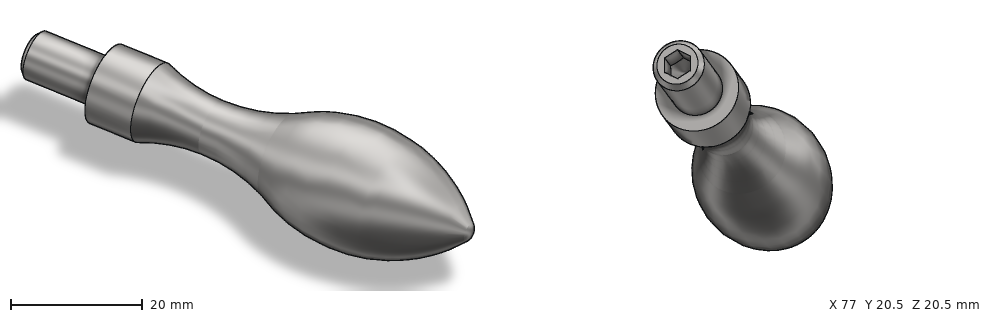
import cadquery as cq
import math

overall_length = 77.0
axis_start = (0, 0, 0)
axis_end = (1, 0, 0)

stud_radius = 4.0
stud_length = 13.0
stud_chamfer = 0.8

collar_radius = 6.5
collar_length = 8.0
collar_end_x = stud_length + collar_length

waist_x = 31.7
waist_radius = 4.4
neck_end_x = 43.4
belly_x = 56.6
belly_radius = 10.27
belly_curve_radius = 26.8
belly_center_height = belly_radius - belly_curve_radius

socket_sides = 6
socket_across_flats = 4.0
socket_depth = 4.0
drill_point_angle = 120.0


def belly_height(x):
    """Radius of the grip at x, on the convex belly arc."""
    return belly_center_height + math.sqrt(belly_curve_radius**2 - (x - belly_x) ** 2)


def neck_middle(end_x, end_radius):
    """Point on the concave arc that runs level at the waist and reaches the end given."""
    run = end_x - waist_x
    rise = end_radius - waist_radius
    curve_radius = (run**2 + rise**2) / (2 * rise)
    half_angle = math.asin(run / curve_radius) / 2
    return (
        waist_x + curve_radius * math.sin(half_angle),
        waist_radius + curve_radius * (1 - math.cos(half_angle)),
    )


def make_body():
    """Half outline of the handle, revolved about the X axis."""
    neck_end_radius = belly_height(neck_end_x)

    belly_to_end = overall_length - belly_x
    tip_sphere_radius = (
        (belly_curve_radius**2 - belly_to_end**2 - belly_center_height**2)
        / (2 * (belly_curve_radius - belly_to_end))
    )
    tip_center_x = overall_length - tip_sphere_radius
    tip_angle = math.atan2(-belly_center_height, tip_center_x - belly_x)
    tip_start = (
        tip_center_x + tip_sphere_radius * math.cos(tip_angle),
        tip_sphere_radius * math.sin(tip_angle),
    )
    tip_middle = (
        tip_center_x + tip_sphere_radius * math.cos(tip_angle / 2),
        tip_sphere_radius * math.sin(tip_angle / 2),
    )

    profile = (
        cq.Workplane("XY")
        .moveTo(0, 0)
        .lineTo(0, stud_radius - stud_chamfer)
        .lineTo(stud_chamfer, stud_radius)
        .lineTo(stud_length, stud_radius)
        .lineTo(stud_length, collar_radius)
        .lineTo(collar_end_x, collar_radius)
        .threePointArc(neck_middle(collar_end_x, collar_radius), (waist_x, waist_radius))
        .threePointArc(neck_middle(neck_end_x, neck_end_radius), (neck_end_x, neck_end_radius))
        .threePointArc((belly_x, belly_radius), tip_start)
        .threePointArc(tip_middle, (overall_length, 0))
        .close()
    )
    return profile.revolve(axisStart=axis_start, axisEnd=axis_end)


def make_socket():
    """Hexagonal prism pointed like the drill tip that bored it."""
    corner_radius = socket_across_flats / 2 / math.cos(math.pi / socket_sides)
    cone_height = corner_radius / math.tan(math.radians(drill_point_angle / 2))
    hexagon = (
        cq.Workplane("YZ")
        .transformed(rotate=(0, 0, 90))
        .polygon(socket_sides, 2 * corner_radius)
        .extrude(socket_depth + cone_height)
    )
    drill_outline = (
        cq.Workplane("XY")
        .moveTo(0, 0)
        .lineTo(0, corner_radius)
        .lineTo(socket_depth, corner_radius)
        .lineTo(socket_depth + cone_height, 0)
        .close()
        .revolve(axisStart=axis_start, axisEnd=axis_end)
    )
    return hexagon.intersect(drill_outline)


result = make_body().cut(make_socket())